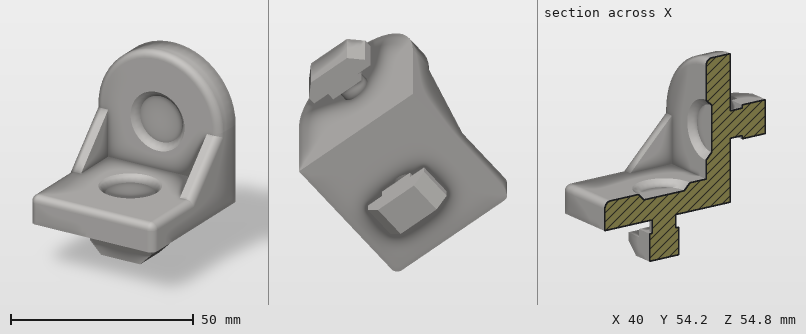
import cadquery as cq

width = 40.0
body_depth = 42.5
body_height = 43.0
plate = 8.4
edge_radius = 2.05
gusset_width = 2 * edge_radius
gusset_end = 22.35

bolt_offset = 22.45
seat_radius = 8.7
seat_depth = 1.9
stem_diameter = 8.05
stem_length = 3.7
neck_width = 9.9
neck_height = 2.25
head_width = 19.75
head_side = 2.25
head_taper = 3.55
head_length = neck_width

arch_radius = width / 2
arch_center = body_height - arch_radius


def make_body():
    """L-shaped bracket with an arched upright and two side gussets."""
    side_profile = [
        (0, 0),
        (-body_depth, 0),
        (-body_depth, plate),
        (-gusset_end, plate),
        (-plate, gusset_end),
        (-plate, body_height),
        (0, body_height),
    ]
    solid = cq.Workplane("YZ").polyline(side_profile).close().extrude(width / 2, both=True)

    arch = (
        cq.Workplane("XZ")
        .moveTo(-width / 2, 0)
        .lineTo(width / 2, 0)
        .lineTo(width / 2, arch_center)
        .threePointArc((0, body_height), (-width / 2, arch_center))
        .close()
        .extrude(body_depth)
    )
    solid = solid.intersect(arch)

    front_corners = solid.edges("|Z").edges("<Y")
    base_front = solid.faces("<Y").edges(">Z")
    rim_zone = cq.selectors.BoxSelector(
        (-width, -body_depth, plate - edge_radius),
        (width, edge_radius - plate, body_height),
    )
    side_rim = solid.faces("<X or >X").edges(rim_zone)
    arch_rim = solid.edges("%CIRCLE").edges("<Y")
    solid = front_corners.add(base_front).add(side_rim).add(arch_rim).fillet(edge_radius)

    gusset_reach = gusset_end - plate
    pocket = cq.Workplane("XY", origin=(0, -gusset_end, plate)).box(
        width - 2 * gusset_width,
        gusset_reach,
        gusset_reach,
        centered=(True, False, False),
    )
    return solid.cut(pocket)


def make_seat():
    """Countersink cutter along Z, opening at the plate surface on Z = plate."""
    return (
        cq.Workplane("XY", origin=(0, 0, plate - seat_depth))
        .circle(seat_radius - seat_depth)
        .workplane(offset=seat_depth)
        .circle(seat_radius)
        .loft()
    )


def make_bolt():
    """T-bolt below Z = 0: round stem, square neck and tapered head."""
    neck_top = -stem_length
    head_top = neck_top - neck_height
    taper_top = head_top - head_side
    bottom = taper_top - head_taper
    half_outline = [
        (neck_width / 2, neck_top),
        (neck_width / 2, head_top),
        (head_width / 2, head_top),
        (head_width / 2, taper_top),
        (head_width / 2 - head_taper, bottom),
    ]
    mirrored = [(-x, z) for x, z in reversed(half_outline)]
    head = cq.Workplane("XZ").polyline(half_outline + mirrored).close().extrude(head_length / 2, both=True)
    stem = cq.Workplane("XY").circle(stem_diameter / 2).extrude(-stem_length)
    return head.union(stem)


def on_base(feature):
    """Move a feature from the origin to the bolt axis of the base."""
    return feature.translate((0, -bolt_offset, 0))


def on_upright(feature):
    """Turn a feature so that its -Z side faces +Y, on the bolt axis of the upright."""
    return feature.rotate((0, 0, 0), (1, 0, 0), 90).translate((0, 0, bolt_offset))


result = make_body()
for place in (on_base, on_upright):
    result = result.cut(place(make_seat())).union(place(make_bolt()))